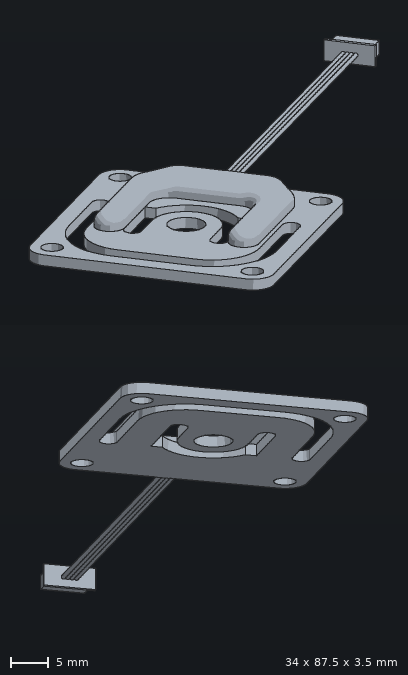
import cadquery as cq

plate_side = 34.0
plate_thickness = 1.6
plate_corner_radius = 3.0
mount_hole_diameter = 3.0
mount_hole_offset = 14.0
centre_hole_diameter = 5.2

slot_inner_half_width = 12.1
slot_width = 2.45
slot_outer_half_width = slot_inner_half_width + slot_width
slot_inner_corner_radius = 6.6
slot_outer_corner_radius = slot_inner_corner_radius + slot_width
slot_end_y = 3.9

tongue_half_width = 4.8
arch_half_width = 7.3
arch_slot_width = arch_half_width - tongue_half_width
arch_shoulder_y = 4.5
arch_end_y = -4.3

overall_height = 3.5
cover_height = overall_height - plate_thickness
cover_edge_radius = 1.1
cover_half_width = 11.5
cover_back_y = plate_side / 2
cover_back_half_width = 7.35
cover_shoulder_y = 11.4
cover_back_corner_radius = 3.0
cover_shoulder_radius = 3.85
opening_half_width = arch_half_width
opening_back_y = 8.9
opening_corner_radius = 2.8
arm_end_y = -3.85
arm_width = cover_half_width - opening_half_width

wire_count = 4
wire_diameter = 0.6
wire_pitch = 0.595
wire_z = plate_thickness + wire_diameter / 2

overall_length = 87.5
connector_back_y = overall_length - plate_side / 2
connector_z = 2.0
plug_width = 6.0
plug_length = 2.9
plug_height = 2.0
flange_width = 7.2
flange_thickness = 0.5
flange_height = 2 * (overall_height - connector_z)
flange_front_y = connector_back_y - plug_length - flange_thickness


def rounded_block(half_width, corner_radius, top_y):
    """Plate-thick block with its two lower corners rounded."""
    height = top_y + half_width
    return (
        cq.Workplane("XY")
        .center(0, top_y - height / 2)
        .rect(2 * half_width, height)
        .extrude(plate_thickness)
        .edges("|Z and <Y")
        .fillet(corner_radius)
    )


def round_ends(centre_x, centre_y, width):
    """Pair of mirrored discs that round off the ends of a slot."""
    return (
        cq.Workplane("XY")
        .pushPoints([(-centre_x, centre_y), (centre_x, centre_y)])
        .circle(width / 2)
        .extrude(plate_thickness)
    )


def make_outer_slot():
    outer = rounded_block(slot_outer_half_width, slot_outer_corner_radius, slot_end_y)
    inner = rounded_block(slot_inner_half_width, slot_inner_corner_radius, slot_end_y)
    ends = round_ends(slot_inner_half_width + slot_width / 2, slot_end_y, slot_width)
    return outer.cut(inner).union(ends)


def block(half_width, low_y, high_y):
    """Plate-thick rectangular block, symmetric about X = 0."""
    return (
        cq.Workplane("XY")
        .center(0, (low_y + high_y) / 2)
        .rect(2 * half_width, high_y - low_y)
        .extrude(plate_thickness)
    )


def make_arch_slot():
    arch = cq.Workplane("XY").circle(arch_half_width).extrude(plate_thickness)
    arch = arch.intersect(block(arch_half_width, 0, arch_half_width))
    legs = block(arch_half_width, arch_end_y, arch_shoulder_y)
    tongue = block(tongue_half_width, arch_end_y, 0).union(
        cq.Workplane("XY").circle(tongue_half_width).extrude(plate_thickness)
    )
    ends = round_ends(tongue_half_width + arch_slot_width / 2, arch_end_y, arch_slot_width)
    return arch.union(legs).cut(tongue).union(ends)


def make_plate():
    mount_spacing = 2 * mount_hole_offset
    plate = (
        cq.Workplane("XY")
        .rect(plate_side, plate_side)
        .extrude(plate_thickness)
        .edges("|Z")
        .fillet(plate_corner_radius)
        .faces(">Z")
        .workplane()
        .rect(mount_spacing, mount_spacing, forConstruction=True)
        .vertices()
        .hole(mount_hole_diameter)
        .faces(">Z")
        .workplane()
        .hole(centre_hole_diameter)
    )
    return plate.cut(make_outer_slot()).cut(make_arch_slot())


def vertical_edges_at(body, points):
    """Select the vertical edges of the cover that stand over the given XY points."""
    mid_z = plate_thickness + cover_height / 2
    nearest = [cq.selectors.NearestToPointSelector((x, y, mid_z)) for x, y in points]
    return body.edges("|Z").edges(nearest[0] + nearest[1])


def make_cover():
    arm_tip_y = arm_end_y - arm_width / 2
    arm_centre_x = (cover_half_width + opening_half_width) / 2
    cover = (
        cq.Workplane("XY", origin=(0, 0, plate_thickness))
        .moveTo(-cover_half_width, arm_end_y)
        .lineTo(-cover_half_width, cover_shoulder_y)
        .lineTo(-cover_back_half_width, cover_back_y)
        .lineTo(cover_back_half_width, cover_back_y)
        .lineTo(cover_half_width, cover_shoulder_y)
        .lineTo(cover_half_width, arm_end_y)
        .threePointArc((arm_centre_x, arm_tip_y), (opening_half_width, arm_end_y))
        .lineTo(opening_half_width, opening_back_y)
        .lineTo(-opening_half_width, opening_back_y)
        .lineTo(-opening_half_width, arm_end_y)
        .threePointArc((-arm_centre_x, arm_tip_y), (-cover_half_width, arm_end_y))
        .close()
        .extrude(cover_height)
    )
    rounded_corners = [
        (cover_half_width, cover_shoulder_y, cover_shoulder_radius),
        (cover_back_half_width, cover_back_y, cover_back_corner_radius),
        (opening_half_width, opening_back_y, opening_corner_radius),
    ]
    for x, y, radius in rounded_corners:
        cover = vertical_edges_at(cover, [(-x, y), (x, y)]).fillet(radius)
    return cover.faces(">Z").edges().fillet(cover_edge_radius)


def make_wires():
    first_x = -wire_pitch * (wire_count - 1) / 2
    wire_length = flange_front_y - cover_back_y
    wires = cq.Workplane("XY")
    for index in range(wire_count):
        wire = (
            cq.Workplane("XZ", origin=(first_x + index * wire_pitch, cover_back_y, wire_z))
            .circle(wire_diameter / 2)
            .extrude(-wire_length)
        )
        wires = wires.union(wire)
    return wires


def make_connector():
    flange = cq.Workplane("XY", origin=(0, flange_front_y + flange_thickness / 2, connector_z)).box(
        flange_width, flange_thickness, flange_height
    )
    plug = cq.Workplane("XY", origin=(0, connector_back_y - plug_length / 2, connector_z)).box(
        plug_width, plug_length, plug_height
    )
    return flange.union(plug)


def make_wired_cover():
    return make_cover().union(make_wires()).union(make_connector())


plate = make_plate()
wired_cover = make_wired_cover()

result = cq.Compound.makeCompound([plate.val(), wired_cover.val()])